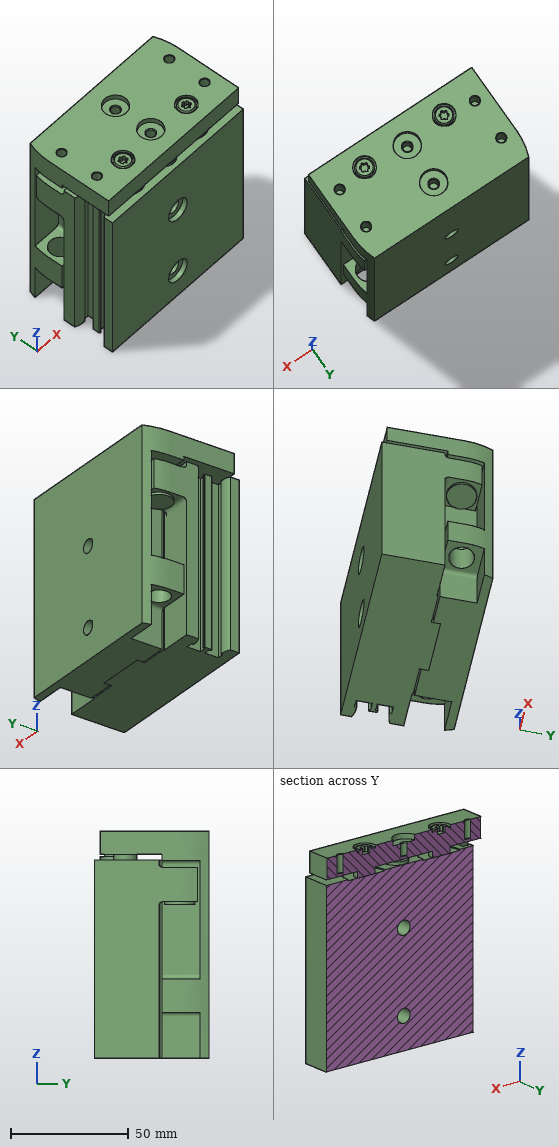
import cadquery as cq
import math

HEIGHT = 97.0
DEPTH = 49.0
HOUSING_WIDTH = 85.0
SLIDE_WIDTH = 84.4
HOUSING_HEIGHT = 84.7

FLANK_Y = 36.5
SLIDE_FLANK_RADIUS = 34.9
ARM_FLANK_RADIUS = 29.1

SLIDE_FRONT = 28.8
END_PLATE_FRONT = 2.4
END_PLATE_THICKNESS = 10.0
BACK_PLATE_THICKNESS = 4.0
WEB_HALF_WIDTH = 26.1
POCKET_FILLET = 1.7
UPPER_POCKET_BOTTOM = 33.95
UPPER_POCKET_TOPS = {-1: 85.2, 1: 84.4}
LOWER_POCKET_TOP = 19.6
STOP_HOLE_DIAMETER = 11.0

FLANGE_BACK = 27.5
CORE_BACK = 28.0
RAIL_WIDTH = 24.6
RAIL_BACK = 32.0
CHANNEL_CLEARANCE = 0.3
ARM_BOTTOM = 66.9
ARM_TOP = 81.4
ARM_BACK = 43.9
ARM_END_GAP = 1.65
ARM_FILLET = 2.1
STOP_DIAMETER = 13.0
STOP_HEIGHT = 1.2
STOP_X = 34.5
STOP_Y = 36.5

RIB_Y = 13.1
FLARE_HALF_WIDTH = 8.3
SLOT_OUTER_OFFSET = 7.2
RIB_HALF_WIDTH = 2.0
RIB_CHAMFER = 0.4
RIB_DEPTH = 4.4
SLOT_LIP = 1.0
SLOT_UNDERCUT = 1.0
SLOT_DEPTH = 8.5

STUD_Y = 8.2
STUD_DIAMETER = 11.5
STUD_HEIGHT = 1.5
STUD_TIP_DIAMETER = 8.0

PISTON_X = 20.6
PISTON_Y = 13.2
PISTON_DIAMETER = 10.0
PISTON_RECESS_DIAMETER = 20.0
PISTON_RECESS_DEPTH = 0.5
HEAD_BORE_DIAMETER = 10.1
HEAD_BORE_DEPTH = 1.3
HEAD_DIAMETER = 8.5
HEAD_HEIGHT = 1.0
HEAD_CHAMFER = 0.6
SOCKET_DIAMETER = 4.4
SOCKET_CORE_DIAMETER = 3.3
SOCKET_LOBE_WIDTH = 1.2
SOCKET_LOBE_ANGLES = (30, 90, 150)
SOCKET_DEPTH = 2.5

MOUNT_Y = (15.4, 35.4)
MOUNT_X = 34.9
THREAD_DIAMETER = 4.2
THREAD_FLOOR_THICKNESS = 1.5
CORNER_MOUTH_DIAMETER = 4.8
CENTRE_MOUTH_DIAMETER = 5.0
SLEEVE_BORE_DIAMETER = 12.0
SLEEVE_BORE_DEPTH = 2.5
THROUGH_DIAMETER = 6.7
THROUGH_Z = (16.0, 56.0)

END_PLATE_BOTTOM = HEIGHT - END_PLATE_THICKNESS
POCKET_BACK = DEPTH - BACK_PLATE_THICKNESS


def box(x, y, z):
    """Box spanning the given (low, high) ranges."""
    corner = cq.Workplane("XY").box(x[1] - x[0], y[1] - y[0], z[1] - z[0], centered=False)
    return corner.translate((x[0], y[0], z[0]))


def cylinder(diameter, x, y, bottom, top):
    """Upright cylinder."""
    return cq.Workplane("XY", origin=(x, y, bottom)).circle(diameter / 2).extrude(top - bottom)


def y_cylinder(diameter, x, z, front, back):
    """Cylinder along Y."""
    disc = cq.Workplane("XZ", origin=(x, front, z)).circle(diameter / 2)
    return disc.extrude(-(back - front))


def rounded_block(width, radius, front, back, bottom, top):
    """Block whose two rear flanks curve inward behind FLANK_Y with the given radius."""

    def flank_x(y):
        return width / 2 - radius + math.sqrt(radius**2 - (y - FLANK_Y) ** 2)

    half = width / 2
    middle_y = (FLANK_Y + back) / 2
    middle_x = flank_x(middle_y)
    back_x = flank_x(back)
    return (
        cq.Workplane("XY", origin=(0, 0, bottom))
        .moveTo(-half, front)
        .lineTo(half, front)
        .lineTo(half, FLANK_Y)
        .threePointArc((middle_x, middle_y), (back_x, back))
        .lineTo(-back_x, back)
        .threePointArc((-middle_x, middle_y), (-half, FLANK_Y))
        .close()
        .extrude(top - bottom)
    )


def through_holes():
    """Pair of bores that run through both bodies along Y."""
    first, second = (y_cylinder(THROUGH_DIAMETER, 0, z, 0, DEPTH) for z in THROUGH_Z)
    return first.add(second)


def side_pocket(side, bottom, top):
    """Slide pocket open to one flank, rounded where it meets the web."""
    outer = side * SLIDE_WIDTH
    inner = side * WEB_HALF_WIDTH
    pocket = box(sorted((outer, inner)), (SLIDE_FRONT, POCKET_BACK), (bottom, top))
    inner_face = "<X" if side > 0 else ">X"
    return pocket.faces(inner_face).edges("|Y").fillet(POCKET_FILLET)


def threaded_hole(x, y, top, mouth_diameter):
    """Blind hole in the end plate with a 45 degree mouth."""
    chamfer = (mouth_diameter - THREAD_DIAMETER) / 2
    floor = END_PLATE_BOTTOM + THREAD_FLOOR_THICKNESS
    profile = (
        cq.Workplane("XZ")
        .moveTo(0, floor)
        .lineTo(THREAD_DIAMETER / 2, floor)
        .lineTo(THREAD_DIAMETER / 2, top - chamfer)
        .lineTo(mouth_diameter / 2, top)
        .lineTo(0, top)
        .close()
    )
    return profile.revolve(360, (0, 0), (0, 1)).translate((x, y, 0))


def star_socket(x, y, top):
    """Screw socket with six rounded lobes around a round core."""
    plane = cq.Workplane("XY", origin=(x, y, top - SOCKET_DEPTH))
    socket = plane.circle(SOCKET_CORE_DIAMETER / 2).extrude(SOCKET_DEPTH)
    for angle in SOCKET_LOBE_ANGLES:
        lobes = plane.slot2D(SOCKET_DIAMETER, SOCKET_LOBE_WIDTH, angle).extrude(SOCKET_DEPTH)
        socket = socket.union(lobes)
    return socket


def add_piston_end(slide, x):
    """Piston end below the end plate and its recessed screw head on top."""
    bore_floor = HEIGHT - HEAD_BORE_DEPTH
    head_top = bore_floor + HEAD_HEIGHT
    head = cylinder(HEAD_DIAMETER, x, PISTON_Y, bore_floor, head_top)
    head = head.faces(">Z").chamfer(HEAD_CHAMFER)
    piston_bottom = HOUSING_HEIGHT - PISTON_RECESS_DEPTH
    return (
        slide.union(cylinder(PISTON_DIAMETER, x, PISTON_Y, piston_bottom, END_PLATE_BOTTOM))
        .cut(cylinder(HEAD_BORE_DIAMETER, x, PISTON_Y, bore_floor, HEIGHT))
        .union(head)
        .cut(star_socket(x, PISTON_Y, head_top))
    )


def make_slide():
    """L-shaped slide with its end plate, pocketed back and piston ends."""
    slide = rounded_block(SLIDE_WIDTH, SLIDE_FLANK_RADIUS, END_PLATE_FRONT, DEPTH, 0, HEIGHT)
    slide = slide.cut(box((-SLIDE_WIDTH, SLIDE_WIDTH), (0, SLIDE_FRONT), (0, END_PLATE_BOTTOM)))

    for side in (-1, 1):
        slide = slide.cut(side_pocket(side, UPPER_POCKET_BOTTOM, UPPER_POCKET_TOPS[side]))
        slide = slide.cut(side_pocket(side, -LOWER_POCKET_TOP, LOWER_POCKET_TOP))
        stop_x = side * STOP_X
        slide = slide.cut(
            cylinder(STOP_HOLE_DIAMETER, stop_x, STOP_Y, LOWER_POCKET_TOP, UPPER_POCKET_BOTTOM)
        )

    half_rail = RAIL_WIDTH / 2
    channel_top = HOUSING_HEIGHT + CHANNEL_CLEARANCE
    slide = slide.cut(box((-half_rail, half_rail), (SLIDE_FRONT, RAIL_BACK), (0, channel_top)))

    for x in (-PISTON_X, PISTON_X):
        slide = add_piston_end(slide, x)

    for y in MOUNT_Y:
        for x in (-MOUNT_X, MOUNT_X):
            slide = slide.cut(threaded_hole(x, y, HEIGHT, CORNER_MOUTH_DIAMETER))
        bore_floor = HEIGHT - SLEEVE_BORE_DEPTH
        slide = slide.cut(cylinder(SLEEVE_BORE_DIAMETER, 0, y, bore_floor, HEIGHT))
        slide = slide.cut(threaded_hole(0, y, bore_floor, CENTRE_MOUTH_DIAMETER))

    return slide.cut(through_holes())


def sensor_slots():
    """Flared recess in the -X flank holding two T-slots beside a chamfered rib."""
    flank = -HOUSING_WIDTH / 2
    rib_x = flank + RIB_DEPTH
    neck_x = rib_x + SLOT_LIP
    floor_x = flank + SLOT_DEPTH
    flare_rise = FLARE_HALF_WIDTH - SLOT_OUTER_OFFSET
    flare_radius = (RIB_DEPTH**2 + flare_rise**2) / (2 * flare_rise)
    flare_x = flank + RIB_DEPTH / 2
    flare_offset = SLOT_OUTER_OFFSET + flare_radius - math.sqrt(flare_radius**2 - (RIB_DEPTH / 2) ** 2)
    root = RIB_HALF_WIDTH
    nose = root - RIB_CHAMFER
    half = (
        cq.Workplane("XY")
        .moveTo(flank, 0)
        .lineTo(flank, FLARE_HALF_WIDTH)
        .threePointArc((flare_x, flare_offset), (rib_x, SLOT_OUTER_OFFSET))
        .lineTo(neck_x, SLOT_OUTER_OFFSET)
        .lineTo(neck_x, SLOT_OUTER_OFFSET + SLOT_UNDERCUT)
        .lineTo(floor_x, SLOT_OUTER_OFFSET + SLOT_UNDERCUT)
        .lineTo(floor_x, root - SLOT_UNDERCUT)
        .lineTo(neck_x, root - SLOT_UNDERCUT)
        .lineTo(neck_x, root)
        .lineTo(rib_x + RIB_CHAMFER, root)
        .lineTo(rib_x, nose)
        .lineTo(rib_x, 0)
        .close()
        .extrude(HOUSING_HEIGHT)
    )
    return half.union(half.mirror("XZ")).translate((0, RIB_Y, 0))


def stop_arms():
    """Pair of arms reaching into the upper slide pockets, with stop buttons below."""
    arms = rounded_block(HOUSING_WIDTH, ARM_FLANK_RADIUS, FLANGE_BACK, ARM_BACK, ARM_BOTTOM, ARM_TOP)
    inner = WEB_HALF_WIDTH + ARM_END_GAP
    arms = arms.cut(box((-inner, inner), (0, DEPTH), (0, HEIGHT)))
    for x in (-STOP_X, STOP_X):
        arms = arms.union(cylinder(STOP_DIAMETER, x, STOP_Y, ARM_BOTTOM - STOP_HEIGHT, ARM_BOTTOM))
    return arms


def arm_root_fillets():
    """Concave corners where the arms rise from the flanges, above and below each arm."""
    r = ARM_FILLET
    inner = WEB_HALF_WIDTH + ARM_END_GAP
    half = HOUSING_WIDTH / 2
    y = FLANGE_BACK
    fillets = box((-half, half), (y, y + r), (ARM_BOTTOM - r, ARM_TOP + r))
    for z in (ARM_BOTTOM - r, ARM_TOP + r):
        groove = cq.Workplane("YZ", origin=(-half, y + r, z)).circle(r).extrude(HOUSING_WIDTH)
        fillets = fillets.cut(groove)
    return fillets.cut(box((-inner, inner), (0, DEPTH), (0, HEIGHT)))


def make_housing():
    """Housing block with rail, stop arms, sensor slots and cover stud."""
    half = HOUSING_WIDTH / 2
    half_rail = RAIL_WIDTH / 2
    housing = box((-half, half), (0, FLANGE_BACK), (0, HOUSING_HEIGHT))
    housing = housing.union(stop_arms())
    housing = housing.union(arm_root_fillets())

    core = (-WEB_HALF_WIDTH, WEB_HALF_WIDTH)
    housing = housing.union(box(core, (FLANGE_BACK, CORE_BACK), (0, HOUSING_HEIGHT)))
    housing = housing.union(box((-half_rail, half_rail), (CORE_BACK, RAIL_BACK), (0, HOUSING_HEIGHT)))
    housing = housing.cut(sensor_slots())

    stud_top = HOUSING_HEIGHT + STUD_HEIGHT
    housing = housing.union(cylinder(STUD_DIAMETER, 0, STUD_Y, HOUSING_HEIGHT, stud_top))
    housing = housing.union(cylinder(STUD_TIP_DIAMETER, 0, STUD_Y, stud_top, END_PLATE_BOTTOM))

    recess_floor = HOUSING_HEIGHT - PISTON_RECESS_DEPTH
    for x in (-PISTON_X, PISTON_X):
        housing = housing.cut(
            cylinder(PISTON_RECESS_DIAMETER, x, PISTON_Y, recess_floor, HOUSING_HEIGHT)
        )

    housing = housing.cut(through_holes())
    for z in THROUGH_Z:
        housing = housing.cut(y_cylinder(SLEEVE_BORE_DIAMETER, 0, z, 0, SLEEVE_BORE_DEPTH))
    return housing


housing = make_housing()
slide = make_slide()
result = cq.Compound.makeCompound([housing.solids().val(), slide.solids().val()])